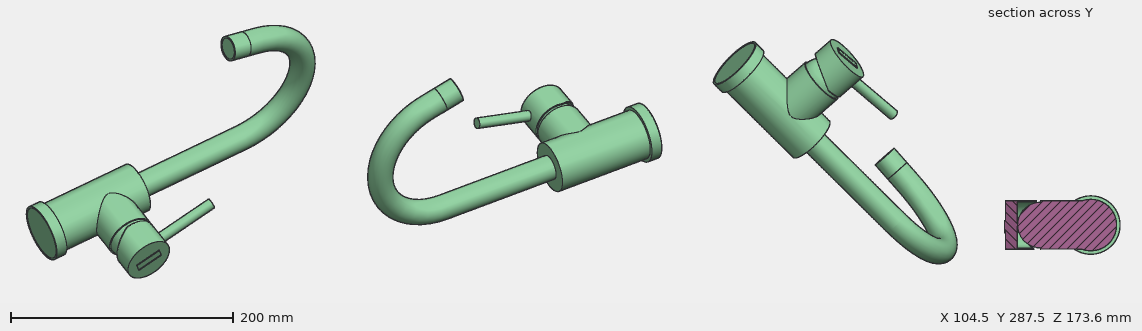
import cadquery as cq
import math


body_radius = 23.3
body_height = 101.0
flange_radius = 26.5
flange_thickness = 10.4
base_recess_radius = 24.7
recess_depth = 0.3

branch_height = 65.8
branch_diameter = 44.0
branch_radius = branch_diameter / 2
branch_end = 45.5
dome_radius = 20.7

cap_start = 49.0
cap_end = 77.0
cap_cut_depth = 9.8
cap_bore_end = branch_end + dome_radius
lever_offset = 64.7
lever_radius = 5.0
lever_reach = 76.8
lever_tilt = 15
badge_length = 24.7
badge_width = 8.3
badge_thickness = 1.0

spout_radius = 11.5
bend_radius = 65.0
overall_height = 287.5
outlet_rise = 15
bend_angle = 180 - outlet_rise
bend_start = overall_height - bend_radius - spout_radius
outlet_straight = 14.5

aerator_length = 17.3
aerator_recess_radius = 9.8


def rod(radius, start, direction, length):
    """Cylinder from a start point along a direction."""
    return cq.Workplane(obj=cq.Solid.makeCylinder(radius, length, cq.Vector(*start), cq.Vector(*direction)))


def make_body():
    column = rod(body_radius, (0, 0, 0), (0, 1, 0), body_height)
    flange = rod(flange_radius, (0, 0, 0), (0, 1, 0), flange_thickness)
    branch = rod(branch_radius, (0, branch_height, 0), (1, 0, 0), branch_end)
    dome = (
        cq.Workplane("XY", origin=(branch_end, branch_height, 0))
        .moveTo(dome_radius, 0)
        .radiusArc((0, dome_radius), -dome_radius)
        .lineTo(0, 0)
        .close()
        .revolve(360, (0, 0, 0), (1, 0, 0))
    )
    recess = rod(base_recess_radius, (0, 0, 0), (0, 1, 0), recess_depth)
    return column.union(flange).union(branch).union(dome).cut(recess)


def make_handle():
    cap = rod(branch_radius, (cap_start, 0, 0), (1, 0, 0), cap_end - cap_start)
    slanted_cut = (
        cq.Workplane("XY")
        .moveTo(cap_start, 0)
        .lineTo(cap_start + cap_cut_depth, -branch_radius)
        .lineTo(cap_start, -branch_radius)
        .close()
        .extrude(branch_radius, both=True)
    )
    lever = rod(lever_radius, (lever_offset, 0, 0), (0, 1, 0), lever_reach)
    bore = rod(dome_radius, (cap_start, 0, 0), (1, 0, 0), cap_bore_end - cap_start)
    badge = (
        cq.Workplane("YZ", origin=(cap_end, 0, 0))
        .rect(badge_length, badge_width)
        .extrude(badge_thickness)
    )
    handle = cap.cut(slanted_cut).union(lever).cut(bore).union(badge)
    return handle.rotate((0, 0, 0), (1, 0, 0), lever_tilt).translate((0, branch_height, 0))


def bend_point(angle):
    """Point (Y, Z) on the bend centreline, with the angle measured from the bend start."""
    turn = math.radians(angle)
    return bend_start + bend_radius * math.sin(turn), bend_radius * (1 - math.cos(turn))


outlet_y = -math.cos(math.radians(outlet_rise))
outlet_z = math.sin(math.radians(outlet_rise))
bend_end_y, bend_end_z = bend_point(bend_angle)
spout_end_y = bend_end_y + outlet_straight * outlet_y
spout_end_z = bend_end_z + outlet_straight * outlet_z


def make_spout():
    centreline = (
        cq.Workplane("YZ")
        .moveTo(body_height, 0)
        .lineTo(bend_start, 0)
        .threePointArc(bend_point(bend_angle / 2), (bend_end_y, bend_end_z))
        .lineTo(spout_end_y, spout_end_z)
    )
    return cq.Workplane("XZ", origin=(0, body_height, 0)).circle(spout_radius).sweep(centreline)


def make_aerator():
    outlet = (0, outlet_y, outlet_z)
    sleeve = rod(spout_radius, (0, spout_end_y, spout_end_z), outlet, aerator_length)
    floor_distance = aerator_length - recess_depth
    floor_y = spout_end_y + floor_distance * outlet_y
    floor_z = spout_end_z + floor_distance * outlet_z
    recess = rod(aerator_recess_radius, (0, floor_y, floor_z), outlet, recess_depth)
    return sleeve.cut(recess)


body = make_body()
handle = make_handle()
spout = make_spout()
aerator = make_aerator()

result = cq.Compound.makeCompound([body.val(), handle.val(), spout.val(), aerator.val()])